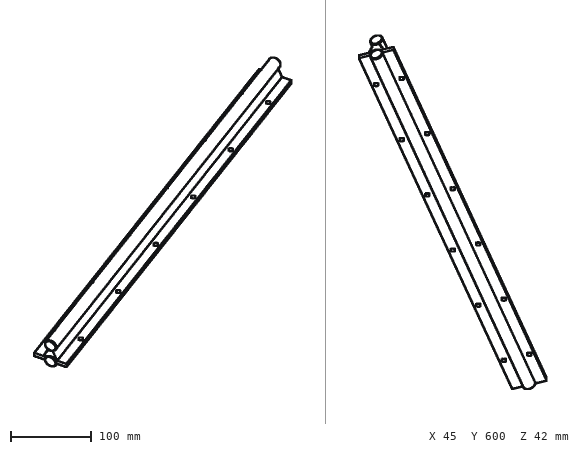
import cadquery as cq
import math

length = 600.0
height = 42.0
rod_diameter = 16.0
rod_radius = rod_diameter / 2
rod_chamfer = 0.95
upper_rod_z = height / 2 - rod_radius
lower_rod_z = -upper_rod_z

flange_width = 45.0
flange_thickness = 5.5
flange_bottom_z = lower_rod_z
flange_top_z = flange_bottom_z + flange_thickness
neck_half_width = 3.5
foot_half_width = 9.5

hole_diameter = 5.5
hole_spacing_x = 33.0
holes_per_row = 6
hole_pitch = length / holes_per_row


def make_rod(center_z):
    """Round bar along Y, chamfered at both ends."""
    return (
        cq.Workplane("XZ", origin=(0, length / 2, center_z))
        .circle(rod_radius)
        .extrude(length)
        .faces("<Y or >Y")
        .chamfer(rod_chamfer)
    )


def make_support():
    """Flanged rail with a saddle on top and a half-round channel below."""
    saddle_edge_z = upper_rod_z - math.sqrt(rod_radius**2 - neck_half_width**2)
    half_width = flange_width / 2
    profile = (
        cq.Workplane("XZ", origin=(0, length / 2, 0))
        .moveTo(-half_width, flange_bottom_z)
        .lineTo(-half_width, flange_top_z)
        .lineTo(-foot_half_width, flange_top_z)
        .lineTo(-neck_half_width, saddle_edge_z)
        .threePointArc((0, upper_rod_z - rod_radius), (neck_half_width, saddle_edge_z))
        .lineTo(foot_half_width, flange_top_z)
        .lineTo(half_width, flange_top_z)
        .lineTo(half_width, flange_bottom_z)
        .lineTo(rod_radius, flange_bottom_z)
        .threePointArc((0, lower_rod_z + rod_radius), (-rod_radius, flange_bottom_z))
        .close()
    )
    holes = (
        cq.Workplane("XY", origin=(0, 0, flange_bottom_z))
        .rarray(hole_spacing_x, hole_pitch, 2, holes_per_row)
        .circle(hole_diameter / 2)
        .extrude(flange_thickness)
    )
    return profile.extrude(length).cut(holes)


support = make_support()
rods = [make_rod(center_z) for center_z in (lower_rod_z, upper_rod_z)]

result = cq.Compound.makeCompound([support.val(), *[rod.val() for rod in rods]])